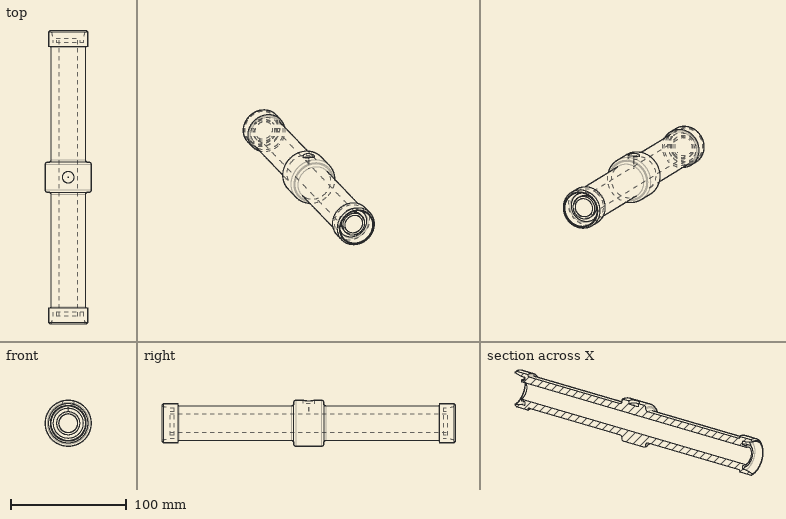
import cadquery as cq
import math

total_length = 254.0
tube_diameter = 30.0
bore_diameter = 16.0

collar_diameter = 40.0
collar_width = 26.0
collar_edge_radius = 2.0
collar_root_radius = 2.0

cap_diameter = 34.0
cap_length = 14.0
cap_mouth_chamfer = 1.5
cap_root_radius = 1.0

socket_depth = 7.0
socket_taper = 15.0
gap_outer_diameter = 26.0
sleeve_diameter = 20.0
gap_depth = 3.5

port_diameter = 10.0
port_depth = 3.0
orifice_diameter = 0.5


def full_length_cylinder(diameter):
    """Cylinder on the Y axis running the whole length of the part."""
    return cq.Workplane("XZ").circle(diameter / 2).extrude(total_length / 2, both=True)


def revolve_about_y(outline):
    """Solid of revolution of a closed half outline in the XY plane."""
    return outline.close().revolve(360, (0, 0, 0), (0, 1, 0))


def both_ends(feature):
    """The feature together with its mirror image at the other end."""
    return feature.union(feature.mirror("XZ"))


def make_collar_half():
    """The +Y half of the collar, with a rounded rim and a filleted root at the tube."""
    tube_radius = tube_diameter / 2
    rim_radius = collar_diameter / 2
    face = collar_width / 2
    outline = (
        cq.Workplane("XY")
        .lineTo(rim_radius, 0)
        .lineTo(rim_radius, face - collar_edge_radius)
        .radiusArc((rim_radius - collar_edge_radius, face), -collar_edge_radius)
        .lineTo(tube_radius + collar_root_radius, face)
        .radiusArc((tube_radius, face + collar_root_radius), collar_root_radius)
        .lineTo(0, face + collar_root_radius)
    )
    return revolve_about_y(outline)


def make_cap():
    """End cap at +Y with a chamfered mouth and a small fillet where it meets the tube."""
    tube_radius = tube_diameter / 2
    cap_radius = cap_diameter / 2
    end = total_length / 2
    back = end - cap_length
    outline = (
        cq.Workplane("XY")
        .moveTo(0, end)
        .lineTo(cap_radius - cap_mouth_chamfer, end)
        .lineTo(cap_radius, end - cap_mouth_chamfer)
        .lineTo(cap_radius, back)
        .lineTo(tube_radius + cap_root_radius, back)
        .radiusArc((tube_radius, back - cap_root_radius), -cap_root_radius)
        .lineTo(0, back - cap_root_radius)
    )
    return revolve_about_y(outline)


def make_socket():
    """Tapered socket at the +Y end, with an annular gap around the inner sleeve below it."""
    end = total_length / 2
    sleeve_face = end - socket_depth
    gap_radius = gap_outer_diameter / 2
    mouth_radius = gap_radius + socket_depth * math.tan(math.radians(socket_taper))
    gap_floor = sleeve_face - gap_depth
    outline = (
        cq.Workplane("XY")
        .moveTo(0, end)
        .lineTo(mouth_radius, end)
        .lineTo(gap_radius, sleeve_face)
        .lineTo(gap_radius, gap_floor)
        .lineTo(sleeve_diameter / 2, gap_floor)
        .lineTo(sleeve_diameter / 2, sleeve_face)
        .lineTo(0, sleeve_face)
    )
    return revolve_about_y(outline)


def make_port():
    """Blind port from above, with a fine orifice that reaches the bore."""
    top = cq.Workplane("XY", origin=(0, 0, collar_diameter / 2))
    port = top.circle(port_diameter / 2).extrude(-port_depth)
    orifice = top.circle(orifice_diameter / 2).extrude(-collar_diameter / 2)
    return port.union(orifice)


body = full_length_cylinder(tube_diameter)
body = body.union(both_ends(make_collar_half()))
body = body.union(both_ends(make_cap()))
body = body.cut(full_length_cylinder(bore_diameter))
body = body.cut(both_ends(make_socket()))
result = body.cut(make_port())